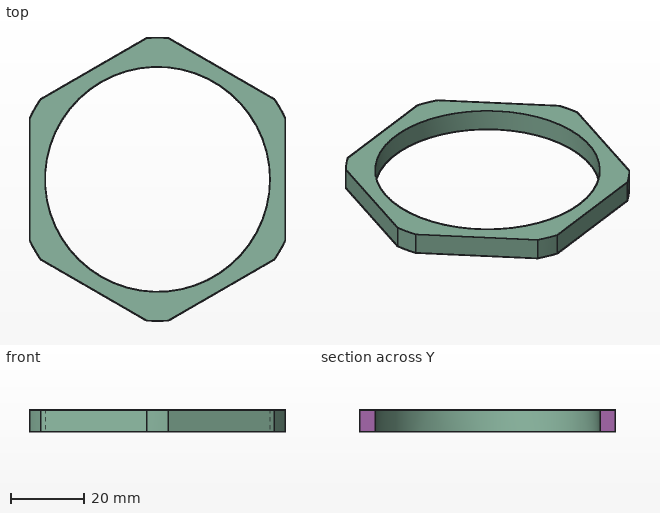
import cadquery as cq
import math

side_count = 6
across_flats = 70.0
corner_diameter = 77.6
bore_diameter = 61.5
thickness = 6.0

half_side_angle = 180 / side_count
sharp_corner_diameter = across_flats / math.cos(math.radians(half_side_angle))


def hexagon_plate():
    """Sharp hexagonal plate with two flats facing +X and -X."""
    plate = cq.Workplane("XY").polygon(side_count, sharp_corner_diameter).extrude(thickness)
    return plate.rotate((0, 0, 0), (0, 0, 1), half_side_angle)


def disc(diameter):
    """Round plate of the ring's thickness, centred on the ring axis."""
    return cq.Workplane("XY").circle(diameter / 2).extrude(thickness)


trimmed_plate = hexagon_plate().intersect(disc(corner_diameter))
result = trimmed_plate.cut(disc(bore_diameter))